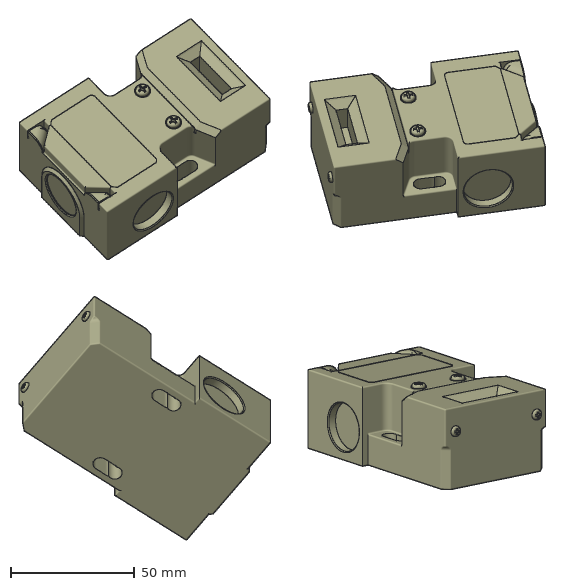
import cadquery as cq

housing_width = 58.0
housing_depth = 36.2
cover_height = 33.3
neck_half_width = 15.75
neck_corner_radius = 3.1
edge_radius = 0.6

head_width = 52.1
head_height = 34.3
rear_y = 86.8
head_side_y = 58.3
head_front_y = 54.5
head_front_half_width = 18.0
head_chamfer_height = 2.4
head_chamfer_run = 2.9
plinth_height = 13.2
floor_fillet = 0.6

joint_gap = 0.3
joint_bottom = 29.3

entry_size = (27.5, 11.6)
entry_throat_size = (20.8, 4.8)
entry_y = 76.5
entry_funnel_depth = 3.0
entry_depth = 13.4
entry_rim = 0.6

slot_x = 20.1
slot_radius = 2.95
slot_front_y = 44.9
slot_rear_y = 49.85
slot_hole_y = 42.6

side_knockout_y = 23.6
side_knockout_z = 14.0
side_knockout_radius = 10.5
side_knockout_depth = 3.9
front_knockout_z = 14.9
front_knockout_radius = 10.1
front_knockout_depth = 0.9
knockout_rim = 0.45
knockout_rim_angle = 45

boss_radius = 13.7
boss_centre_z = 13.3
boss_height = 1.3
boss_chamfer = 1.25

lip_bottom = 28.6
lip_setback = 0.7
lip_half_width = 13.4
lip_fillet = 0.6
pocket_half_width = 23.4
pocket_depth = 8.5
pocket_inner_x = 20.0
post_half_width = 22.8
post_depth = 7.3
post_gap = 0.45
post_front_chamfer = 0.45
post_side_radius = 4.5
post_rear_radius = 3.9

label_half_width = 21.6
label_front_y = 9.2
label_rear_y = 32.2
label_corner = 1.8
label_recess = 0.2

screw_protrusion = 1.3
cover_screw_x = 10.1
cover_screw_y = 49.1
cover_screw_radius = 2.9
cover_screw_seat_radius = 3.2
cover_screw_seat_depth = 0.3
rear_screw_x = 20.9
rear_screw_z = 24.4
rear_screw_radius = 2.2
screw_rim = 1.1
cross_width = 0.8
cross_depth = 0.7

relief_size = 2.9
relief_height = 18.3
relief_ceiling_radius = 1.8

CUT_MARGIN = 0.9
OVERLAP = 0.9
SELECT_REACH = 0.1
FRONT = cq.Plane(origin=(0, 0, 0), xDir=(1, 0, 0), normal=(0, -1, 0))


def box(x0, x1, y0, y1, z0, z1):
    """Axis-aligned block between opposite corners."""
    return cq.Workplane("XY").box(x1 - x0, y1 - y0, z1 - z0, centered=False).translate((x0, y0, z0))


def prism(points, z0, z1):
    """Vertical prism over an XY outline."""
    return cq.Workplane("XY").workplane(offset=z0).polyline(points).close().extrude(z1 - z0)


def both_sides(shape):
    """A shape together with its mirror image across the YZ plane."""
    return shape.union(shape.mirror("YZ"))


def mirrored_outline(right_points):
    """Closed outline from its right half, listed from front to rear."""
    return right_points + [(-x, y) for x, y in reversed(right_points)]


def near(x, y, z):
    """Selector for edges whose centre lies at a point."""
    reach = SELECT_REACH
    return cq.selectors.BoxSelector((x - reach, y - reach, z - reach), (x + reach, y + reach, z + reach))


def cut_lid_front(body):
    top = cover_height + CUT_MARGIN
    lip = box(-lip_half_width, lip_half_width, -CUT_MARGIN, lip_setback, lip_bottom, top)
    lip = lip.edges("|X and >Y and <Z").fillet(lip_fillet)
    pocket = prism([
        (lip_half_width, -CUT_MARGIN),
        (pocket_half_width, -CUT_MARGIN),
        (pocket_half_width, pocket_depth),
        (pocket_inner_x, pocket_depth),
        (lip_half_width, lip_setback),
    ], lip_bottom, top)
    return body.cut(lip).cut(both_sides(pocket))


def make_cover_block():
    half_width = housing_width / 2
    flare_slope = (head_side_y - head_front_y) / (head_width / 2 - head_front_half_width)
    flare_y = head_front_y - flare_slope * (head_front_half_width - neck_half_width)
    flare_end = (head_front_half_width + OVERLAP, head_front_y + flare_slope * OVERLAP)
    outline = mirrored_outline([
        (half_width, 0),
        (half_width, housing_depth),
        (neck_half_width, housing_depth),
        (neck_half_width, flare_y),
        flare_end,
    ])
    block = prism(outline, 0, cover_height)
    for side in (-1, 1):
        for y in (housing_depth, flare_y):
            corner = near(side * neck_half_width, y, cover_height / 2)
            block = block.edges("|Z").edges(corner).fillet(neck_corner_radius)
        front_corner = near(side * half_width, 0, cover_height / 2)
        block = block.edges("|Z").edges(front_corner).fillet(edge_radius)
    joint_y = head_front_y - joint_gap
    block = block.cut(box(-half_width, half_width, joint_y, rear_y, joint_bottom, cover_height))
    block = cut_lid_front(block)
    pocket_sides = cq.selectors.BoxSelector(
        (-pocket_half_width - SELECT_REACH, 0, cover_height - SELECT_REACH),
        (pocket_half_width + SELECT_REACH, pocket_depth, cover_height + SELECT_REACH),
    )
    sharp_edges = block.faces(">Z").edges("|Y").edges(pocket_sides).vals()
    rounded_edges = [edge for edge in block.faces(">Z").edges().vals() if edge not in sharp_edges]
    return block.newObject(rounded_edges).fillet(edge_radius)


def make_head():
    half_width = head_width / 2
    outline = mirrored_outline([
        (head_front_half_width, head_front_y),
        (half_width, head_side_y),
        (half_width, rear_y),
    ])
    head = prism(outline, 0, head_height)
    front_edges = head.faces(">Z").edges("<Y or (not (|X or |Y))")
    head = front_edges.chamfer(head_chamfer_height, head_chamfer_run)
    head = head.edges("|Z and >Y").fillet(edge_radius)
    return head.faces(">Z").edges(">Y or |Y").fillet(edge_radius)


def make_plinth():
    half_width = head_width / 2
    return box(-half_width, half_width, housing_depth - OVERLAP, head_side_y + OVERLAP, 0, plinth_height)


def fillet_plinth(body):
    """Round the plinth's outer edges and the floor's meeting with the walls around it."""
    reach = SELECT_REACH
    outer_x = head_width / 2 + reach
    floor_edges = cq.selectors.BoxSelector(
        (-outer_x, housing_depth - reach, plinth_height - reach),
        (outer_x, head_side_y + reach, plinth_height + reach),
    )
    return body.edges(floor_edges).fillet(floor_fillet)


def make_boss():
    outline = (
        cq.Workplane(FRONT)
        .moveTo(-boss_radius, 0)
        .lineTo(-boss_radius, boss_centre_z)
        .threePointArc((0, boss_centre_z + boss_radius), (boss_radius, boss_centre_z))
        .lineTo(boss_radius, 0)
        .close()
    )
    boss = outline.extrude(boss_height)
    return boss.faces("<Y").edges("not <Z").chamfer(boss_chamfer)


def cut_entry(body):
    top = cq.Workplane("XY").workplane(offset=head_height).center(0, entry_y)
    throat_depth = entry_depth - entry_funnel_depth
    throat = (
        cq.Workplane("XY").workplane(offset=head_height - entry_depth).center(0, entry_y)
        .rect(*entry_throat_size).extrude(throat_depth)
    )
    funnel = (
        top.workplane(offset=-entry_rim).rect(*entry_size)
        .workplane(offset=entry_rim - entry_funnel_depth)
        .rect(*entry_throat_size).loft(ruled=True)
    )
    rim = (
        top.rect(entry_size[0] + 2 * entry_rim, entry_size[1] + 2 * entry_rim)
        .workplane(offset=-entry_rim).rect(*entry_size).loft(ruled=True)
    )
    return body.cut(throat).cut(funnel).cut(rim)


def cut_mounting_slots(body):
    length = slot_rear_y - slot_front_y + 2 * slot_radius
    middle_y = (slot_rear_y + slot_front_y) / 2
    along_y = 90
    slot = (
        cq.Workplane("XY").center(slot_x, middle_y)
        .slot2D(length, 2 * slot_radius, along_y).extrude(plinth_height)
    )
    hole = cq.Workplane("XY").center(slot_x, slot_hole_y).circle(slot_radius).extrude(plinth_height)
    return body.cut(both_sides(slot.union(hole)))


def knockout_plug(plane, radius, depth):
    """Disc sunk below a plane, with a bevelled rim at the plane."""
    bore = cq.Workplane(plane).circle(radius - knockout_rim).extrude(-depth)
    rim = cq.Workplane(plane).circle(radius).extrude(-knockout_rim, taper=knockout_rim_angle)
    return bore.union(rim)


def cut_knockouts(body):
    side_plane = cq.Plane((housing_width / 2, side_knockout_y, side_knockout_z), (0, 1, 0), (1, 0, 0))
    front_plane = cq.Plane((0, -boss_height, front_knockout_z), (1, 0, 0), (0, -1, 0))
    side_plug = knockout_plug(side_plane, side_knockout_radius, side_knockout_depth)
    front_plug = knockout_plug(front_plane, front_knockout_radius, front_knockout_depth)
    return body.cut(both_sides(side_plug)).cut(front_plug)


def make_post():
    run = pocket_inner_x - lip_half_width
    rise = pocket_depth - lip_setback
    slope = run / rise
    front_x = lip_half_width - lip_setback * slope + post_gap
    rear_x = front_x + post_depth * slope
    outline = [(front_x, 0), (post_half_width, 0), (post_half_width, post_depth), (rear_x, post_depth)]
    post = prism(outline, lip_bottom - OVERLAP, cover_height)
    rear_round = post.faces(">Z").edges(">Y").fillet(post_rear_radius)
    side_round = post.faces(">Z").edges("not (|X or |Y)").fillet(post_side_radius)
    post = rear_round.intersect(side_round)
    return both_sides(post.edges("<Y").edges("not (|Z or <Z)").chamfer(post_front_chamfer))


def cut_label(body):
    outline = mirrored_outline([
        (label_half_width - label_corner, label_front_y),
        (label_half_width, label_front_y + label_corner),
        (label_half_width, label_rear_y),
    ])
    label = prism(outline, cover_height - label_recess, cover_height)
    return body.cut(label.edges("|Z and >Y").fillet(label_corner))


def make_screw_head(plane, radius):
    """Round screw head with a cross recess, standing on a plane."""
    head = cq.Workplane(plane).circle(radius).extrude(screw_protrusion)
    head = head.faces(cq.selectors.DirectionMinMaxSelector(plane.zDir, True)).edges().fillet(screw_rim)
    cross_length = 2 * (radius - screw_rim)
    recess = cq.Workplane(plane).workplane(offset=screw_protrusion)
    for size in ((cross_length, cross_width), (cross_width, cross_length)):
        head = head.cut(recess.rect(*size).extrude(-cross_depth))
    return head


def add_screws(body):
    cover_plane = cq.Plane((cover_screw_x, cover_screw_y, cover_height), (1, 0, 0), (0, 0, 1))
    seat = (
        cq.Workplane(cover_plane).circle(cover_screw_seat_radius).circle(cover_screw_radius)
        .extrude(-cover_screw_seat_depth)
    )
    rear_plane = cq.Plane((rear_screw_x, rear_y, rear_screw_z), (1, 0, 0), (0, 1, 0))
    body = body.cut(both_sides(seat))
    body = body.union(both_sides(make_screw_head(cover_plane, cover_screw_radius)))
    return body.union(both_sides(make_screw_head(rear_plane, rear_screw_radius)))


def cut_rear_reliefs(body):
    x = head_width / 2
    relief = prism([(x, rear_y), (x - relief_size, rear_y), (x, rear_y - relief_size)], 0, relief_height)
    relief = relief.faces(">Z").edges("not (|X or |Y)").fillet(relief_ceiling_radius)
    body = body.cut(both_sides(relief))
    for side in (-1, 1):
        edge = near(side * x, rear_y - relief_size, (relief_height - relief_ceiling_radius) / 2)
        body = body.edges("|Z").edges(edge).fillet(edge_radius)
    return body


body = make_cover_block().union(make_head()).union(make_plinth())
body = cut_rear_reliefs(body)
body = fillet_plinth(body)
body = body.union(make_post())
body = body.union(make_boss())
body = body.faces("<Z").edges().fillet(edge_radius)
body = cut_label(body)
body = cut_entry(body)
body = cut_mounting_slots(body)
body = cut_knockouts(body)
result = add_screws(body)